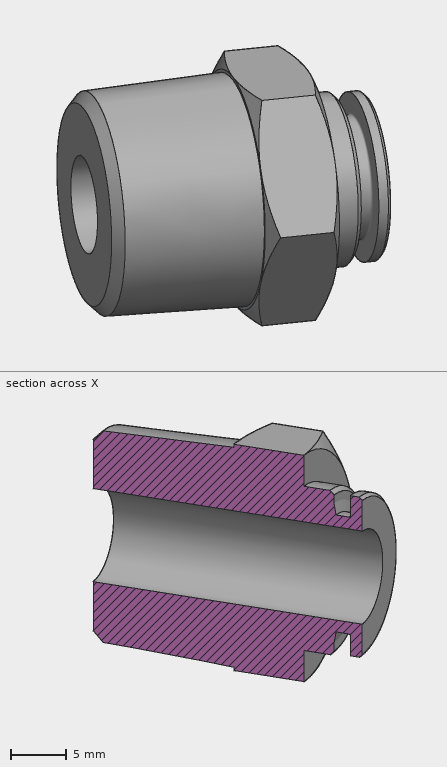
import cadquery as cq
import math

stub_length = 14.0
stub_diameter = 20.6
taper_ratio = 1 / 16
lead_in_length = 1.0
end_face_diameter = 18.6

hex_across_flats = 22.0
hex_length = 7.0
hex_chamfer_angle = 30.0

collar_diameter = 16.0
collar_length = 3.0
collar_chamfer = 0.4

neck_diameter = 11.4
neck_length = 1.6
neck_fillet = 0.2
neck_foot_diameter = 13.5
neck_foot_height = 0.2
flange_diameter = 15.6
flange_length = 1.2
flange_chamfer = 0.3

bore_diameter = 9.0

hex_start = stub_length
hex_end = hex_start + hex_length
collar_end = hex_end + collar_length
neck_end = collar_end + neck_length
total_length = neck_end + flange_length


def revolve_profile(points):
    """Revolve a closed (radius, axial position) outline about the Y axis."""
    outline = [(axial, radius) for radius, axial in points]
    return cq.Workplane("YZ").polyline(outline).close().revolve(360, (0, 0, 0), (1, 0, 0))


def cylinder(diameter, start, end):
    """Cylinder along Y between two axial positions."""
    radius = diameter / 2
    return revolve_profile([(0, start), (radius, start), (radius, end), (0, end)])


def make_stub():
    """Tapered stub with a conical lead-in at its free end."""
    base_diameter = stub_diameter + taper_ratio * (stub_length - lead_in_length)
    return revolve_profile([
        (0, 0),
        (end_face_diameter / 2, 0),
        (stub_diameter / 2, lead_in_length),
        (base_diameter / 2, stub_length),
        (0, stub_length),
    ])


def make_hexagon():
    """Hexagon with corners along X, both ends turned down by a cone."""
    corner_diameter = hex_across_flats / math.cos(math.pi / 6)
    prism = (
        cq.Workplane("XZ", origin=(0, hex_end, 0))
        .polygon(6, corner_diameter)
        .extrude(hex_length)
    )
    face_radius = hex_across_flats / 2
    corner_radius = corner_diameter / 2
    chamfer_length = (corner_radius - face_radius) * math.tan(math.radians(hex_chamfer_angle))
    turned_envelope = revolve_profile([
        (0, hex_start),
        (face_radius, hex_start),
        (corner_radius, hex_start + chamfer_length),
        (corner_radius, hex_end - chamfer_length),
        (face_radius, hex_end),
        (0, hex_end),
    ])
    return prism.intersect(turned_envelope)


def make_collar():
    """Round collar with a chamfered outer edge at its far end."""
    return cylinder(collar_diameter, hex_end, collar_end).faces(">Y").edges().chamfer(collar_chamfer)


def make_neck_foot():
    """Shallow cone between the collar's end face and the neck."""
    return revolve_profile([
        (0, collar_end),
        (neck_foot_diameter / 2, collar_end),
        (neck_diameter / 2, collar_end + neck_foot_height),
        (0, collar_end + neck_foot_height),
    ])


def make_release_ring():
    """Narrow neck filleted into a flange that is chamfered at its far end."""
    neck = cylinder(neck_diameter, collar_end, neck_end)
    flange = cylinder(flange_diameter, neck_end, total_length).faces(">Y").edges().chamfer(flange_chamfer)
    reach = (neck_diameter + flange_diameter) / 4
    corner_circle = cq.selectors.BoxSelector(
        (-reach, neck_end - neck_fillet, -reach),
        (reach, neck_end + neck_fillet, reach),
        boundingbox=True,
    )
    return neck.union(flange).edges(corner_circle).fillet(neck_fillet)


result = (
    make_stub()
    .union(make_hexagon())
    .union(make_collar())
    .union(make_neck_foot())
    .union(make_release_ring())
    .cut(cylinder(bore_diameter, 0, total_length))
)